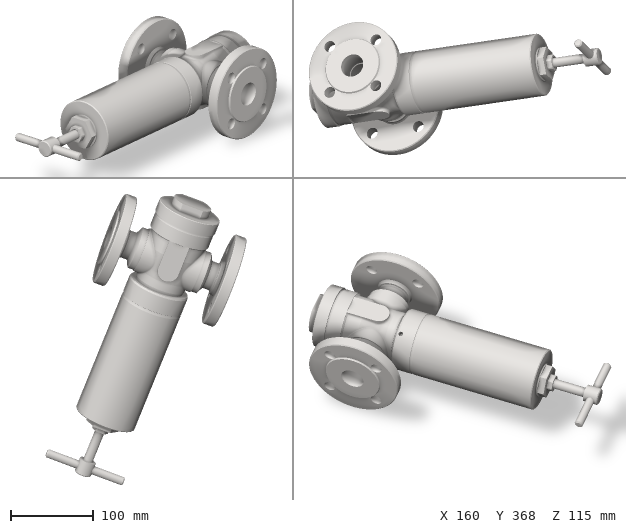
import cadquery as cq
import math


body_top_y = 52.5
rim_radius = 38.0
rim_bottom_y = 33.0
rim_chamfer_width = 1.0
rim_chamfer_length = 3.0
rim_root_bevel = 2.0
barrel_radius = 35.0
barrel_bottom_y = 13.2
neck_radius = 31.0
neck_relief_radius = 30.0
neck_relief_y = -31.0
neck_top_y = -20.2
body_bottom_y = -34.2

pad_half_width = 13.0
pad_height = math.sqrt(rim_radius**2 - pad_half_width**2)
pad_round_y = -3.5
pad_root_fillet = 2.2
pad_root_min_height = 25.8

branch_radius = 26.0
collar_radius = 27.5
collar_end_x = 36.8
branch_cone_start_x = 44.5
branch_cone_end_x = 49.0
pipe_radius = 17.3
joint_x = 51.0
branch_fillet = 1.5
body_bore_radius = 13.0

face_to_face = 160.0
flange_face_x = face_to_face / 2
flange_outer_x = 78.0
flange_inner_x = 64.0
flange_radius = 57.5
flange_chamfer = 1.0
raised_face_radius = 34.2
raised_base_radius = 35.5
hub_base_radius = 22.5
hub_radius = 21.5
hub_cone_x = 62.0
hub_end_x = 59.2
hub_root_bevel = 2.0
flange_bore_radius = 14.5
bolt_circle_radius = 42.5
bolt_hole_diameter = 14.0
bolt_count = 4

cover_radius = 39.0
cover_top_y = 68.0
cover_chamfer = 0.7
boss_radius = 24.0
boss_top_y = 78.0
boss_across_flats = 40.0

housing_radius = rim_radius
housing_end_y = -215.0
housing_end_chamfer = 1.0
housing_top_chamfer_width = 1.0
housing_top_chamfer_length = 2.2
groove_y = -57.5
groove_depth = 0.7
groove_flank = 3.3
groove_lip = 0.5
vent_y = -39.5
vent_angle = 30
vent_diameter = 5.5
vent_depth = 11.0

nut_across_flats = 36.0
nut_collar_radius = 20.5
nut_collar_length = 2.0
nut_end_y = -225.0
lock_nut_across_flats = 18.8
lock_nut_round_radius = 10.3
lock_nut_end_y = -231.5
lock_nut_lead_in = 1.0

spindle_radius = 6.0
head_radius = 10.3
head_start_y = -272.0
head_end_y = -290.0
head_chamfer = 1.0
bar_radius = 5.0
bar_half_length = 50.0
bar_y = -281.0
bar_chamfer = 1.5

COS_30 = math.cos(math.radians(30))


def turned_about_y(points):
    """Solid of revolution about Y from (radius, y) points, closed along the axis."""
    axis_points = [(0, points[0][1]), *points, (0, points[-1][1])]
    return cq.Workplane("XY").polyline(axis_points).close().revolve(360, (0, 0), (0, 1))


def turned_about_x(points):
    """Solid of revolution about X from (x, radius) points, closed along the axis."""
    axis_points = [(points[0][0], 0), *points, (points[-1][0], 0)]
    return cq.Workplane("XY").polyline(axis_points).close().revolve(360, (0, 0), (1, 0))


def rod_y(radius, start_y, end_y):
    """Round rod along Y from start_y down to end_y."""
    return cq.Workplane("XZ", origin=(0, start_y, 0)).circle(radius).extrude(start_y - end_y)


def rod_x(radius, half_length, y=0):
    """Round rod along X, centred on the YZ plane at height y."""
    return cq.Workplane("YZ").center(y, 0).circle(radius).extrude(half_length, both=True)


def hexagon_y(across_flats, start_y, end_y):
    """Hexagonal bar along Y with its corners on the +X and -X sides."""
    across_corners = across_flats / COS_30
    return cq.Workplane("XZ", origin=(0, start_y, 0)).polygon(6, across_corners).extrude(start_y - end_y)


def make_pads():
    """Round-ended blocks whose flat outer faces lie above and below the body."""
    length = rim_bottom_y - pad_round_y
    pad_plane = cq.Workplane("XY").center(0, pad_round_y)
    straight = pad_plane.center(0, length / 2).rect(2 * pad_half_width, length)
    straight = straight.extrude(pad_height, both=True)
    round_end = pad_plane.circle(pad_half_width).extrude(pad_height, both=True)
    return straight.union(round_end)


def make_branches():
    """Both pipe branches as one turned shape, symmetric about the YZ plane."""
    right_side = [
        (0, collar_radius),
        (collar_end_x, collar_radius),
        (collar_end_x, branch_radius),
        (branch_cone_start_x, branch_radius),
        (branch_cone_end_x, pipe_radius),
        (joint_x, pipe_radius),
    ]
    branch = turned_about_x(right_side)
    return branch.union(branch.mirror("YZ"))


def make_barrel():
    """Round core of the body: rim, barrel, taper and neck."""
    return turned_about_y([
        (rim_radius - rim_chamfer_width, body_top_y),
        (rim_radius, body_top_y - rim_chamfer_length),
        (rim_radius, rim_bottom_y),
        (barrel_radius + rim_root_bevel, rim_bottom_y),
        (barrel_radius, rim_bottom_y - rim_root_bevel),
        (barrel_radius, barrel_bottom_y),
        (neck_radius, neck_top_y),
        (neck_radius, neck_relief_y),
        (neck_relief_radius, neck_relief_y),
        (neck_relief_radius, body_bottom_y),
    ])


def pad_root_edges():
    """Selector for the edges where the pads rise out of the barrel, above and below."""
    reach = pad_half_width + pad_root_fillet
    low_y = pad_round_y - reach
    high_y = rim_bottom_y - pad_root_fillet
    upper = cq.selectors.BoxSelector(
        (-reach, low_y, pad_root_min_height), (reach, high_y, barrel_radius)
    )
    lower = cq.selectors.BoxSelector(
        (-reach, low_y, -barrel_radius), (reach, high_y, -pad_root_min_height)
    )
    return upper + lower


def make_body():
    body = make_barrel().union(make_branches())
    body = body.edges("%BSPLINE or %OTHER").fillet(branch_fillet)
    body = body.union(make_pads()).edges(pad_root_edges()).fillet(pad_root_fillet)
    return body.cut(rod_x(body_bore_radius, joint_x))


def make_flange():
    """Flange on the +X side, with its hub reaching in to the branch."""
    flange = turned_about_x([
        (joint_x, pipe_radius),
        (hub_end_x - hub_root_bevel, pipe_radius),
        (hub_end_x, pipe_radius + hub_root_bevel),
        (hub_end_x, hub_radius),
        (hub_cone_x, hub_radius),
        (flange_inner_x, hub_base_radius),
        (flange_inner_x, flange_radius - flange_chamfer),
        (flange_inner_x + flange_chamfer, flange_radius),
        (flange_outer_x - flange_chamfer, flange_radius),
        (flange_outer_x, flange_radius - flange_chamfer),
        (flange_outer_x, raised_base_radius),
        (flange_face_x, raised_face_radius),
    ])
    bolt_holes = (
        cq.Workplane("YZ")
        .polarArray(bolt_circle_radius, 360 / bolt_count / 2, 360, bolt_count)
        .circle(bolt_hole_diameter / 2)
        .extrude(flange_face_x)
    )
    return flange.cut(bolt_holes).cut(rod_x(flange_bore_radius, flange_face_x))


def make_cover():
    disc = rod_y(cover_radius, cover_top_y, body_top_y).faces(">Y").edges().chamfer(cover_chamfer)
    boss = rod_y(boss_radius, boss_top_y, cover_top_y)
    flats = cq.Workplane("XY").box(2 * boss_radius, 2 * boss_top_y, boss_across_flats)
    return disc.union(boss.intersect(flats))


def make_housing():
    housing = turned_about_y([
        (housing_radius - housing_top_chamfer_width, body_bottom_y),
        (housing_radius, body_bottom_y - housing_top_chamfer_length),
        (housing_radius, groove_y + groove_lip),
        (housing_radius - groove_depth, groove_y),
        (housing_radius, groove_y - groove_flank),
        (housing_radius, housing_end_y + housing_end_chamfer),
        (housing_radius - housing_end_chamfer, housing_end_y),
    ])
    vent = (
        cq.Workplane("XY", origin=(0, vent_y, housing_radius - vent_depth))
        .circle(vent_diameter / 2)
        .extrude(2 * vent_depth)
        .rotate((0, 0, 0), (0, 1, 0), -vent_angle)
    )
    return housing.cut(vent)


def make_nut():
    collar = rod_y(nut_collar_radius, housing_end_y, housing_end_y - nut_collar_length)
    hexagon = hexagon_y(nut_across_flats, housing_end_y - nut_collar_length, nut_end_y)
    return collar.union(hexagon).cut(rod_y(spindle_radius, housing_end_y, nut_end_y))


def make_lock_nut():
    hexagon = hexagon_y(lock_nut_across_flats, nut_end_y, lock_nut_end_y)
    rounding = rod_y(lock_nut_round_radius, nut_end_y, lock_nut_end_y)
    bore = rod_y(spindle_radius, nut_end_y, lock_nut_end_y)
    lead_in = turned_about_y([
        (spindle_radius, lock_nut_end_y + lock_nut_lead_in),
        (spindle_radius + lock_nut_lead_in, lock_nut_end_y),
    ])
    return hexagon.intersect(rounding).cut(bore).cut(lead_in)


def make_spindle():
    shank = rod_y(spindle_radius, housing_end_y, head_start_y)
    head = rod_y(head_radius, head_start_y, head_end_y).faces("<Y").edges().chamfer(head_chamfer)
    return shank.union(head).cut(rod_x(bar_radius, bar_half_length, bar_y))


def make_bar():
    return rod_x(bar_radius, bar_half_length, bar_y).faces("<X or >X").edges().chamfer(bar_chamfer)


body = make_body()
right_flange = make_flange()
flanges = [right_flange, right_flange.mirror("YZ")]
cover = make_cover()
housing = make_housing()
nut = make_nut()
lock_nut = make_lock_nut()
spindle = make_spindle()
bar = make_bar()

result = cq.Compound.makeCompound([
    body.val(),
    *[flange.val() for flange in flanges],
    cover.val(),
    housing.val(),
    nut.val(),
    lock_nut.val(),
    spindle.val(),
    bar.val(),
])